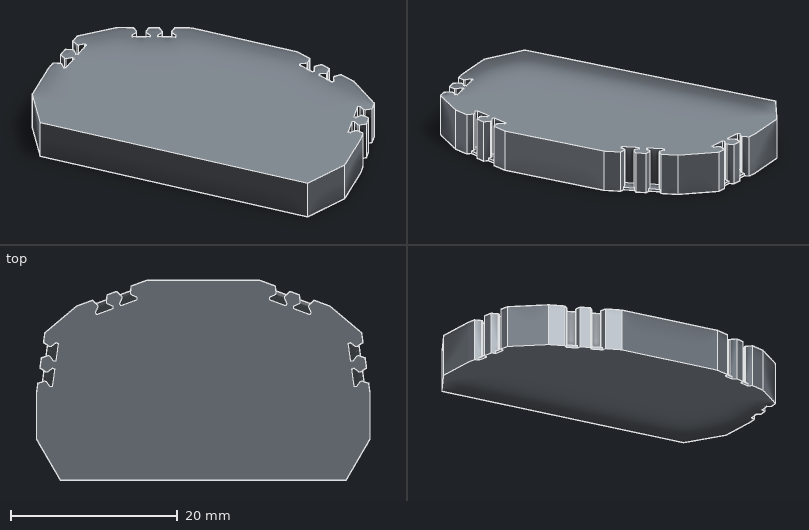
import cadquery as cq
import math

width = 40.0
depth = 24.0
thickness = 5.1
front_half = 17.1
front_corner_y = 4.95
shoulder_y = 10.5
back_half = 6.75

side_angle = 82.1
side_length = 7.3
back_angle = 20.2
back_length = 8.95

slot_pitch = 3.1
mouth_half = 0.9
neck_half = 0.55
neck_start = 0.75
neck_end = 0.95
flare_half = 1.1
flare_depth = 1.5
end_half = 1.05
slot_depth = 1.8

floor_height = 0.45
sill_start = 0.5
sill_height = 0.3


def offset(point, distance, angle):
    """Point at a distance from another, in a direction given in degrees."""
    turn = math.radians(angle)
    return (point[0] + distance * math.cos(turn), point[1] + distance * math.sin(turn))


def mirrored(points):
    """Points reflected about the Y axis, in reverse order."""
    return [(-x, y) for x, y in reversed(points)]


shoulder = (-width / 2, shoulder_y)
side_end = offset(shoulder, side_length, side_angle)
back_end = (-back_half, depth)
back_start = offset(back_end, -back_length, back_angle)


def plate():
    """Solid plate with its outline symmetric about the Y axis."""
    left = [
        (-front_half, 0),
        (-width / 2, front_corner_y),
        shoulder,
        side_end,
        back_start,
        back_end,
    ]
    return cq.Workplane("XY").polyline(left + mirrored(left)).close().extrude(thickness)


def slot_cutter():
    """One slot on a face along X at the origin, cut toward -Y."""
    funnel_side = [(-mouth_half, 0), (-neck_half, -neck_start), (-neck_half, -neck_end)]
    pocket_side = [(-neck_half, -neck_end), (-flare_half, -flare_depth), (-end_half, -slot_depth)]
    funnel = cq.Workplane("XY").polyline(funnel_side + mirrored(funnel_side)).close().extrude(thickness)
    pocket = (
        cq.Workplane("XY")
        .workplane(offset=floor_height)
        .polyline(pocket_side + mirrored(pocket_side))
        .close()
        .extrude(thickness - floor_height)
    )

    sill = (
        cq.Workplane("YZ")
        .polyline([(-sill_start, 0), (-sill_start, sill_height), (-neck_end, floor_height), (-neck_end, 0)])
        .close()
        .extrude(mouth_half, both=True)
    )
    return funnel.cut(sill).union(pocket)


def cut_slot_pair(body, face_start, face_length, face_angle):
    """Two slots about the middle of a leaning face, repeated on the +X side."""
    for side in (-1, 1):
        center = offset(face_start, face_length / 2 + side * slot_pitch / 2, face_angle)
        slot = slot_cutter().rotate((0, 0, 0), (0, 0, 1), face_angle).translate((*center, 0))
        body = body.cut(slot).cut(slot.mirror("YZ"))
    return body


result = plate()
result = cut_slot_pair(result, shoulder, side_length, side_angle)
result = cut_slot_pair(result, back_start, back_length, back_angle)